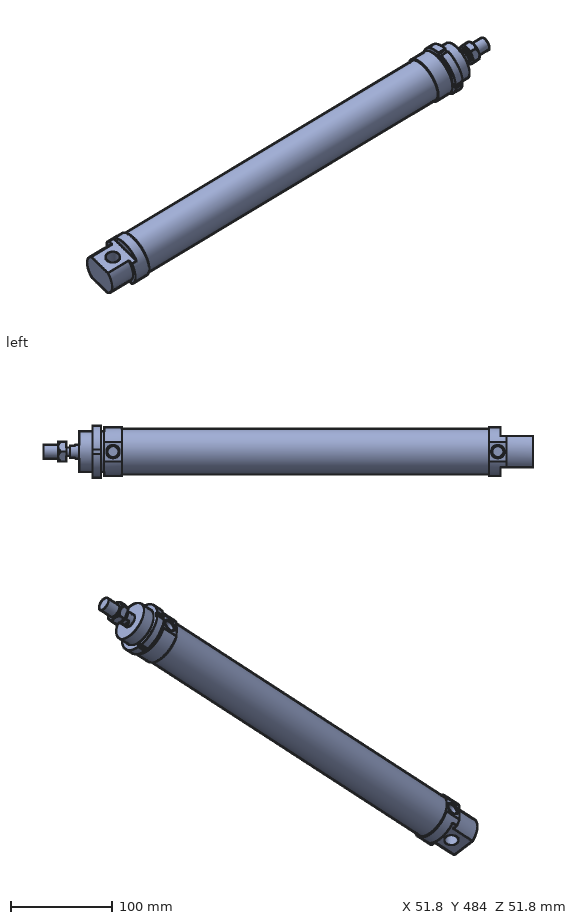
import cadquery as cq
import math

TOTAL_LENGTH = 484.0

TUBE_RADIUS = 22.7
HEAD_RADIUS = 24.0
HEAD_LENGTH = 17.5
BOSS_RADIUS = 20.5
TONGUE_LENGTH = 26.0
TUBE_LENGTH = 363.0
BOSS_LENGTH = 24.5

REAR_HEAD_START = TONGUE_LENGTH
TUBE_START = REAR_HEAD_START + HEAD_LENGTH
FRONT_HEAD_START = TUBE_START + TUBE_LENGTH
BOSS_START = FRONT_HEAD_START + HEAD_LENGTH
BOSS_END = BOSS_START + BOSS_LENGTH

CLEVIS_THICKNESS = 31.0
CLEVIS_FLAT_LENGTH = 32.0
PIN_HOLE_DIAMETER = 14.0
PIN_HOLE_Y = 16.5

PORT_PAD_X = 22.5
PORT_DIAMETER = 11.0
PORT_CHAMFER = 1.0
PORT_DEPTH = 9.5

ROD_DIAMETER = 14.0
ROD_RADIUS = ROD_DIAMETER / 2
ROD_NECK_RADIUS = 4.5
ROD_NECK_LENGTH = 3.5
WRENCH_WIDTH = 12.0
WRENCH_FLAT_LENGTH = 5.0
ROD_START = FRONT_HEAD_START

ROD_NUT_ACROSS_FLATS = 20.0
ROD_NUT_LENGTH = 8.0
ROD_NUT_CHAMFER_RISE = 2.5
ROD_NUT_START = 461.3
NECK_START = ROD_NUT_START - ROD_NECK_LENGTH

MOUNT_NUT_DIAMETER = 52.0
MOUNT_NUT_RADIUS = MOUNT_NUT_DIAMETER / 2
MOUNT_NUT_LENGTH = 8.5
MOUNT_NUT_GAP = 3.0
MOUNT_NUT_SLOTS = 4
SLOT_WIDTH = 4.5
SLOT_DEPTH = 2.0


def disc(radius, start, length):
    """Round bar on the Y axis from Y = start."""
    return cq.Workplane("XZ", origin=(0, start, 0)).circle(radius).extrude(-length)


def block(x_range, y_range, z_range):
    """Box given by its lower and upper limit along each axis."""
    ranges = (x_range, y_range, z_range)
    sizes = [high - low for low, high in ranges]
    corner = tuple(low for low, high in ranges)
    return cq.Workplane("XY").box(*sizes, centered=False).translate(corner)


def both_z_sides(cutter):
    """The cutter together with its mirror image below the XY plane."""
    return cutter.union(cutter.mirror("XY"))


def cut_port(body, head_start):
    """Flat pad across one head with a chamfered blind air port in its middle."""
    head_end = head_start + HEAD_LENGTH
    pad_cutter = block(
        (-HEAD_RADIUS, -PORT_PAD_X),
        (head_start, head_end),
        (-HEAD_RADIUS, HEAD_RADIUS),
    )
    port_radius = PORT_DIAMETER / 2
    mouth_radius = port_radius + PORT_CHAMFER
    port = (
        cq.Workplane("XY", origin=(-PORT_PAD_X, (head_start + head_end) / 2, 0))
        .polyline([
            (0, 0),
            (0, mouth_radius),
            (PORT_CHAMFER, port_radius),
            (PORT_DEPTH, port_radius),
            (PORT_DEPTH, 0),
        ])
        .close()
        .revolve(360, (0, 0, 0), (1, 0, 0))
    )
    return body.cut(pad_cutter).cut(port)


def make_cylinder_body():
    body = disc(BOSS_RADIUS, 0, TONGUE_LENGTH)
    body = body.union(disc(HEAD_RADIUS, REAR_HEAD_START, HEAD_LENGTH))
    body = body.union(disc(TUBE_RADIUS, TUBE_START, TUBE_LENGTH))
    body = body.union(disc(HEAD_RADIUS, FRONT_HEAD_START, HEAD_LENGTH))
    body = body.union(disc(BOSS_RADIUS, BOSS_START, BOSS_LENGTH))

    flat_cutter = block(
        (-HEAD_RADIUS, HEAD_RADIUS),
        (0, CLEVIS_FLAT_LENGTH),
        (CLEVIS_THICKNESS / 2, HEAD_RADIUS),
    )
    body = body.cut(both_z_sides(flat_cutter))
    pin_hole = (
        cq.Workplane("XY", origin=(0, PIN_HOLE_Y, 0))
        .circle(PIN_HOLE_DIAMETER / 2)
        .extrude(CLEVIS_THICKNESS / 2, both=True)
    )
    body = body.cut(pin_hole)

    for head_start in (REAR_HEAD_START, FRONT_HEAD_START):
        body = cut_port(body, head_start)

    return body.cut(disc(ROD_RADIUS, ROD_START, BOSS_END - ROD_START))


def make_rod():
    rod = disc(ROD_RADIUS, ROD_START, NECK_START - ROD_START)
    rod = rod.union(disc(ROD_NECK_RADIUS, NECK_START, ROD_NECK_LENGTH))
    rod = rod.union(disc(ROD_RADIUS, ROD_NUT_START, TOTAL_LENGTH - ROD_NUT_START))

    flat_z = WRENCH_WIDTH / 2
    flat_start = NECK_START - WRENCH_FLAT_LENGTH
    runout_start = flat_start - (ROD_RADIUS - flat_z)
    wrench_cutter = (
        cq.Workplane("YZ")
        .polyline([
            (NECK_START, flat_z),
            (NECK_START, ROD_RADIUS),
            (runout_start, ROD_RADIUS),
            (flat_start, flat_z),
        ])
        .close()
        .extrude(ROD_RADIUS, both=True)
    )
    return rod.cut(both_z_sides(wrench_cutter))


def make_rod_nut():
    """Hexagon with flats on +Z and -Z, its corners bevelled on the rod-tip side."""
    across_corners = ROD_NUT_ACROSS_FLATS / math.cos(math.pi / 6)
    nut = (
        cq.Workplane("XZ", origin=(0, ROD_NUT_START, 0))
        .polygon(6, across_corners)
        .extrude(-ROD_NUT_LENGTH)
    )
    corner_radius = across_corners / 2
    bevel_envelope = (
        disc(corner_radius, ROD_NUT_START, ROD_NUT_LENGTH)
        .faces(">Y")
        .chamfer(ROD_NUT_CHAMFER_RISE, corner_radius - ROD_NUT_ACROSS_FLATS / 2)
    )
    return nut.intersect(bevel_envelope).cut(disc(ROD_RADIUS, ROD_NUT_START, ROD_NUT_LENGTH))


def make_mounting_nut():
    """Round nut on the front boss with spanner slots around its rim."""
    start = BOSS_START + MOUNT_NUT_GAP
    nut = disc(MOUNT_NUT_RADIUS, start, MOUNT_NUT_LENGTH)
    nut = nut.cut(disc(BOSS_RADIUS, start, MOUNT_NUT_LENGTH))
    slot = block(
        (-SLOT_WIDTH / 2, SLOT_WIDTH / 2),
        (start, start + MOUNT_NUT_LENGTH),
        (MOUNT_NUT_RADIUS - SLOT_DEPTH, MOUNT_NUT_RADIUS),
    )
    for index in range(MOUNT_NUT_SLOTS):
        angle = index * 360 / MOUNT_NUT_SLOTS
        nut = nut.cut(slot.rotate((0, 0, 0), (0, 1, 0), angle))
    return nut


cylinder_body = make_cylinder_body()
rod = make_rod()
rod_nut = make_rod_nut()
mounting_nut = make_mounting_nut()

result = cq.Compound.makeCompound(
    [cylinder_body.val(), rod.val(), rod_nut.val(), mounting_nut.val()]
)